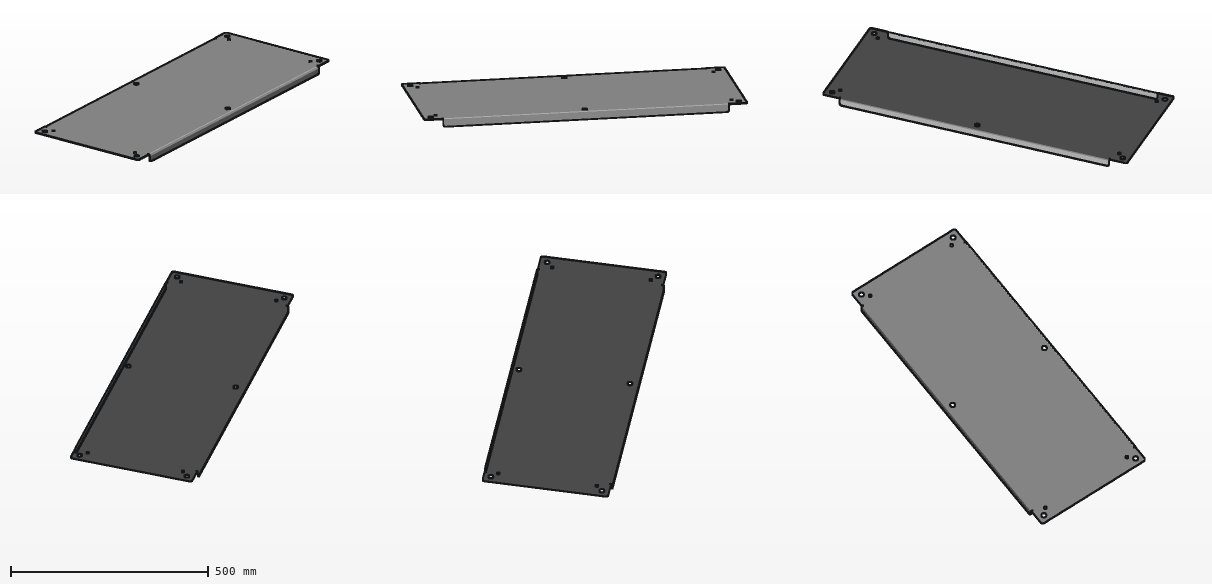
import cadquery as cq

width = 328.71
length = 831.43
height = 21.79

thickness = 2.66
bend_inner_radius = 3.6
bend_outer_radius = bend_inner_radius + thickness

plate_end_width = 323.42
plate_corner_radius = 6.35

flange_length = 736.2
flange_corner_radius = 6.35
relief_width = 1

large_hole_diameter = 12.7
small_hole_diameter = 7.14
large_hole_x = 142.875
large_hole_y = 396.875
small_hole_x = 127.0
small_hole_y = 381.0

half_width = width / 2
bend_line_x = half_width - bend_outer_radius


def make_plate():
    """Flat sheet with rounded corners, notched on both sides where the flanges bend down."""
    plate = (
        cq.Workplane("XY")
        .rect(plate_end_width, length)
        .extrude(-thickness)
        .edges("|Z")
        .fillet(plate_corner_radius)
    )
    notch_length = flange_length + 2 * relief_width
    for side in (-1, 1):
        notch = (
            cq.Workplane("XY")
            .center(side * (bend_line_x + bend_outer_radius / 2), 0)
            .rect(bend_outer_radius, notch_length)
            .extrude(-thickness)
        )
        plate = plate.cut(notch)
    return plate


def make_right_flange():
    """Bend and downturned flange on the +X side, with its lower corners rounded."""
    inner_x = half_width - thickness
    flange = (
        cq.Workplane("XZ")
        .moveTo(bend_line_x, 0)
        .radiusArc((half_width, -bend_outer_radius), bend_outer_radius)
        .lineTo(half_width, -height)
        .lineTo(inner_x, -height)
        .lineTo(inner_x, -bend_outer_radius)
        .radiusArc((bend_line_x, -thickness), -bend_inner_radius)
        .close()
        .extrude(flange_length / 2, both=True)
    )
    lower_corners = flange.faces("<Z").edges("|X")
    return lower_corners.fillet(flange_corner_radius)


def drill_holes(body):
    """Four small corner holes, four large corner holes and two large mid-length holes."""
    large_points = [(sx * large_hole_x, row * large_hole_y) for sx in (-1, 1) for row in (-1, 0, 1)]
    small_points = [(sx * small_hole_x, sy * small_hole_y) for sx in (-1, 1) for sy in (-1, 1)]
    for points, diameter in (
        (large_points, large_hole_diameter),
        (small_points, small_hole_diameter),
    ):
        drills = cq.Workplane("XY").pushPoints(points).circle(diameter / 2).extrude(-thickness)
        body = body.cut(drills)
    return body


right_flange = make_right_flange()
left_flange = right_flange.mirror("YZ")
result = drill_holes(make_plate().union(right_flange).union(left_flange))